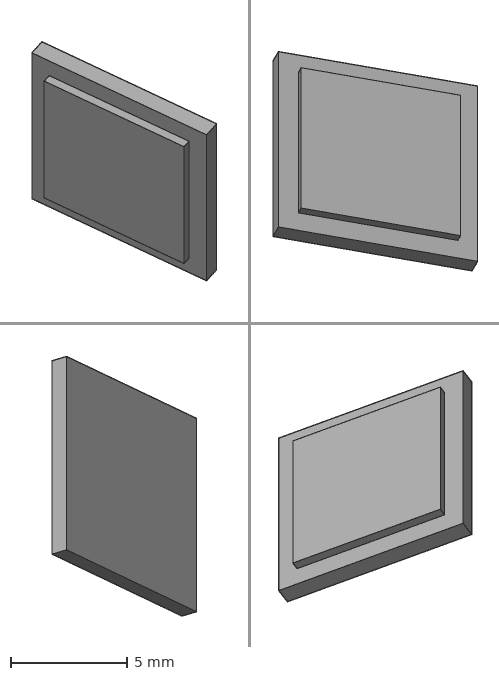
import cadquery as cq

plate_side = 9.0
pad_side = 7.2
total_depth = 1.2
plate_thickness = 0.8
pad_height = total_depth - plate_thickness

plate = cq.Workplane("XY").box(
    plate_side, plate_thickness, plate_side, centered=(True, False, True)
)

pad = (
    cq.Workplane("XY")
    .box(pad_side, pad_height, pad_side, centered=(True, False, True))
    .translate((0, -pad_height, 0))
)

result = plate.union(pad)